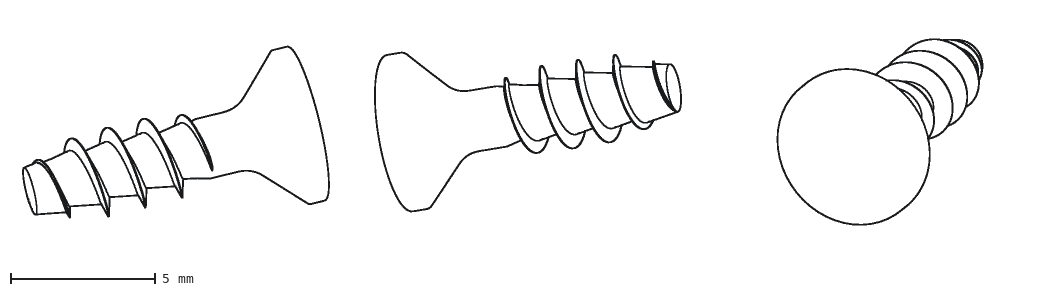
import cadquery as cq
import math

length = 10.0

head_radius = 2.75
rim_height = 0.55
rim_fillet = 0.04
shank_radius = 1.065
neck_fillet = 1.2
head_cone_angle = math.radians(45)
shank_end = 3.735
runout_length = 0.63
runout_radius = 0.91

tip_radius = 0.84
dish_radius = 0.795
dish_depth = 0.045

pitch = 1.33
first_crest = 3.66
thread_radius = 1.5
start_radius = 1.19
crest_half_width = 0.015
flank_slope = math.tan(math.radians(16))
thread_start = 0.0
full_height_start = 1.0
full_height_end = 3.25
thread_end = 4.75

core_wide_radius = shank_radius
core_narrow_radius = 0.83
core_start = -1.0
core_end = 4.85
crest_gap = 0.05
buried_radius = 0.7
rod_radius = 0.82

CURVE_STEPS_PER_TURN = 24


def revolve(outline):
    """Closes an outline of (radius, y) points and turns it around the axis."""
    return outline.close().revolve(360, (0, 0, 0), (0, 1, 0))


def helix_point(turn, radius, depth_offset):
    angle = 2 * math.pi * turn
    depth = first_crest + pitch * turn + depth_offset
    return cq.Vector(radius * math.cos(angle), -depth, radius * math.sin(angle))


def helical_solid(section_at, stops):
    """Solid that carries a polygon of (radius, depth offset) corners along the helix.

    The surfaces are split at each of the given stops, which are turns.
    """
    faces = []
    for begin, end in zip(stops, stops[1:]):
        steps = math.ceil((end - begin) * CURVE_STEPS_PER_TURN)
        turns = [begin + (end - begin) * i / steps for i in range(steps + 1)]
        sections = [section_at(turn) for turn in turns]
        edges = []
        for corner in range(len(sections[0])):
            points = [helix_point(t, *section[corner]) for t, section in zip(turns, sections)]
            edges.append(cq.Edge.makeSpline(points))
        for edge, next_edge in zip(edges, edges[1:] + edges[:1]):
            faces.append(cq.Face.makeRuledSurface(edge, next_edge))
    for turn in (stops[0], stops[-1]):
        corners = [helix_point(turn, *corner) for corner in section_at(turn)]
        faces.append(cq.Face.makeFromWires(cq.Wire.makePolygon(corners, close=True)))
    solid = cq.Solid.makeSolid(cq.Shell.makeShell(faces))
    return cq.Workplane(solid.fix())


def crest_radius(turn):
    """The crest rises over the first turn, stays at full height and sinks into the core at the tip."""
    if turn < full_height_start:
        share = (turn - thread_start) / (full_height_start - thread_start)
        return start_radius + share * (thread_radius - start_radius)
    if turn > full_height_end:
        share = (turn - full_height_end) / (thread_end - full_height_end)
        return thread_radius + share * (tip_radius - thread_radius)
    return thread_radius


def ridge_section(turn):
    crest = crest_radius(turn)
    root_half_width = crest_half_width + (crest - buried_radius) * flank_slope
    return [
        (buried_radius, -root_half_width),
        (crest, -crest_half_width),
        (crest, crest_half_width),
        (buried_radius, root_half_width),
    ]


def core_section(turn):
    taper = (core_wide_radius - core_narrow_radius) / pitch
    return [
        (buried_radius, crest_gap),
        (core_wide_radius - taper * crest_gap, crest_gap),
        (core_narrow_radius + taper * crest_gap, pitch - crest_gap),
        (buried_radius, pitch - crest_gap),
    ]


def head_and_shank():
    def neck_point(angle):
        """Point of the neck fillet where its outline makes this angle with the axis."""
        return (
            shank_radius + neck_fillet * (1 - math.cos(angle)),
            neck_fillet * math.sin(angle) - neck_end,
        )

    neck_spread = neck_fillet * (1 - math.cos(head_cone_angle))
    cone_length = (head_radius - shank_radius - neck_spread) / math.tan(head_cone_angle)
    neck_end = rim_height + cone_length + neck_fillet * math.sin(head_cone_angle)
    body = revolve(
        cq.Workplane("XY")
        .lineTo(head_radius, 0)
        .lineTo(head_radius, -rim_height)
        .lineTo(*neck_point(head_cone_angle))
        .threePointArc(neck_point(head_cone_angle / 2), neck_point(0))
        .lineTo(shank_radius, -shank_end)
        .lineTo(runout_radius, -shank_end - runout_length)
        .lineTo(0, -shank_end - runout_length)
    )
    widest = cq.selectors.RadiusNthSelector(-1)
    return body.edges("%CIRCLE").edges(widest).fillet(rim_fillet)


def core_envelope():
    """Limits the core to the threaded length and to a plain cone next to the tip."""
    return revolve(
        cq.Workplane("XY")
        .moveTo(0, -shank_end)
        .lineTo(thread_radius, -shank_end)
        .lineTo(thread_radius, pitch - length)
        .lineTo(core_wide_radius, pitch - length)
        .lineTo(tip_radius, -length)
        .lineTo(0, -length)
    )


def threaded_core():
    rod = cq.Workplane("XZ").circle(rod_radius).extrude(length)
    stepped_surface = helical_solid(core_section, [core_start, core_end])
    return rod.union(stepped_surface).intersect(core_envelope())


def thread_ridge():
    stops = [thread_start, full_height_start, full_height_end, thread_end]
    ridge = helical_solid(ridge_section, stops)
    shank_end_plane = cq.Workplane("XZ", origin=(0, -shank_end, 0))
    threaded_length = shank_end_plane.circle(2 * thread_radius).extrude(length - shank_end)
    return ridge.intersect(threaded_length)


def tip_dish():
    sphere_radius = (dish_radius**2 + dish_depth**2) / (2 * dish_depth)
    sphere_center = dish_depth - length - sphere_radius
    return cq.Workplane("XY").sphere(sphere_radius).translate((0, sphere_center, 0))


result = threaded_core().union(thread_ridge()).union(head_and_shank()).cut(tip_dish())